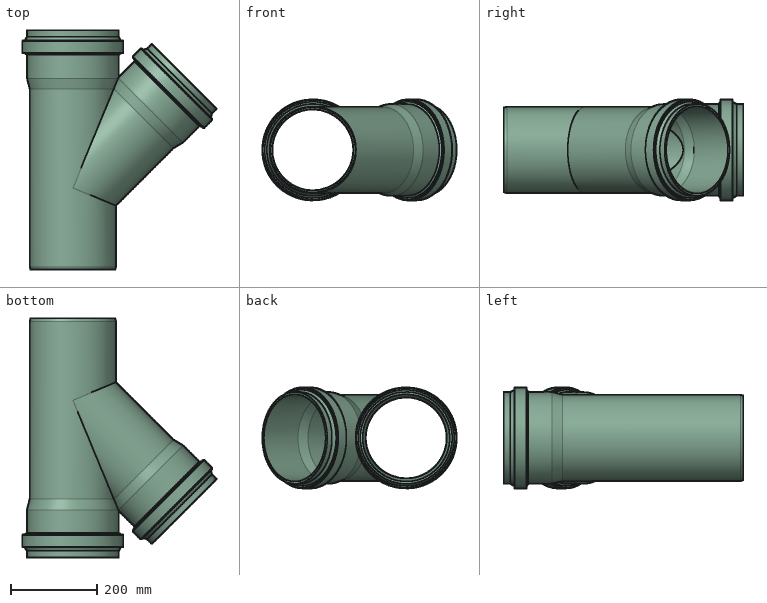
import cadquery as cq

total_length = 555.0
branch_angle = 45.0
junction_y = 190.0
arm_length = total_length - junction_y

pipe_diameter = 200.5
bore_diameter = 187.0
socket_diameter = 213.0
socket_bore_diameter = 202.0
neck_diameter = 223.0
bead_diameter = 235.0

lip_length = 15.5
bead_start = 24.0
bead_end = 54.0
neck_end = 57.0
socket_depth = 111.0
taper_end = 136.0

bead_chamfer = 1.5
spigot_chamfer_length = 7.0
spigot_chamfer_depth = 1.5


def revolve_profile(points):
    """Close a (radius, y) profile on the Y axis and revolve it around that axis."""
    closed = [(0, points[0][1])] + points + [(0, points[-1][1])]
    return cq.Workplane("XY").polyline(closed).close().revolve(360, (0, 0), (0, 1))


def socket_arm():
    """Solid outside of one arm, from the junction (y = 0) to its mouth."""
    pipe_radius = pipe_diameter / 2
    socket_radius = socket_diameter / 2
    neck_radius = neck_diameter / 2
    bead_radius = bead_diameter / 2
    return revolve_profile([
        (pipe_radius, 0),
        (pipe_radius, arm_length - taper_end),
        (socket_radius, arm_length - socket_depth),
        (socket_radius, arm_length - neck_end),
        (neck_radius, arm_length - bead_end),
        (bead_radius - bead_chamfer, arm_length - bead_end),
        (bead_radius, arm_length - bead_end + bead_chamfer),
        (bead_radius, arm_length - bead_start - bead_chamfer),
        (bead_radius - bead_chamfer, arm_length - bead_start),
        (neck_radius, arm_length - bead_start),
        (socket_radius, arm_length - lip_length),
        (socket_radius, arm_length),
    ])


def arm_bore():
    """Hollow of one arm: the pipe bore widening into the socket."""
    return revolve_profile([
        (bore_diameter / 2, 0),
        (bore_diameter / 2, arm_length - taper_end),
        (socket_bore_diameter / 2, arm_length - socket_depth),
        (socket_bore_diameter / 2, arm_length),
    ])


def spigot():
    """Solid lower pipe with a chamfered plain end, ending at the junction."""
    pipe_radius = pipe_diameter / 2
    return revolve_profile([
        (pipe_radius - spigot_chamfer_depth, -junction_y),
        (pipe_radius, spigot_chamfer_length - junction_y),
        (pipe_radius, 0),
    ])


def spigot_bore():
    return revolve_profile([(bore_diameter / 2, -junction_y), (bore_diameter / 2, 0)])


def turned_to_branch(body):
    return body.rotate((0, 0, 0), (0, 0, 1), -branch_angle)


outside = spigot().union(socket_arm()).union(turned_to_branch(socket_arm()))
hollow = spigot_bore().union(arm_bore()).union(turned_to_branch(arm_bore()))

result = outside.cut(hollow).translate((0, junction_y, 0))